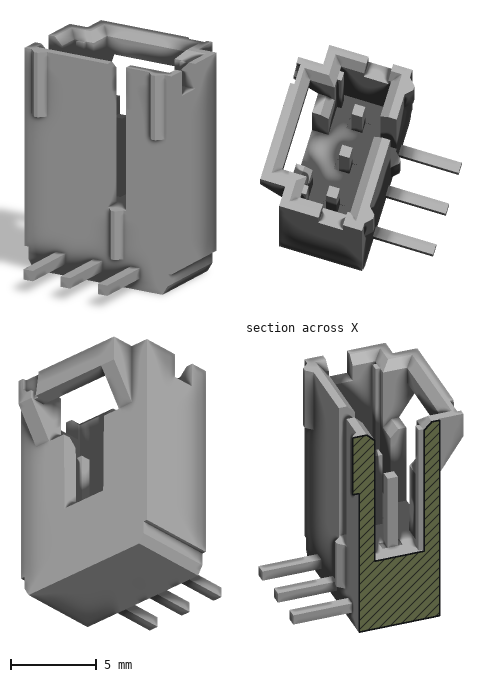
import cadquery as cq

height = 13.59
width = 10.03
depth = 5.07
floor_height = 4.73
side_wall = 0.94
end_wall = 1.0
lead_in = 0.5

base_height = 1.36
base_width = 9.49
base_bevel_width = 0.34
base_bevel_height = 0.57

hood_width = 7.61
hood_depth = 1.52
hood_height = 1.55
hood_wall = 1.03
cheek_height = 3.82

window_width = hood_width - 2 * hood_wall
post_top = 9.76
post_gap_top = 3.18
post_gap_bottom = 3.07
post_bevel = 0.5

rib_width = 0.53
rib_depth = 0.27
rib_offset = (hood_width - rib_width) / 2

slot_width = 1.26
slot_offset = 1.28
notch_front = 1.17
notch_width = 1.5
notch_depth = 1.54

ridge_depth = 0.41
ridge_tip_width = 0.26
side_ridge_offset = 4.01
side_ridge_length = 3.98
side_ridge_width = 1.06
low_ridge_offset = 1.25
low_ridge_length = 3.0
low_ridge_width = 1.0

mark_left = 2.19
mark_right = 3.42
mark_edge_height = 0.68
mark_slope_width = 0.27
mark_slope_height = 0.33
mark_channel_left = 2.43
mark_channel_right = 2.8
mark_depth = 0.25

contact_count = 3
contact_pitch = 2.54
contact_width = 0.64
tail_length = 3.68
tail_bottom = 0.73
pin_centre = 2.53
pin_top = 9.51
well_depth = 1.26
well_drop = 0.08

back = depth + hood_depth
cavity_width = width - 2 * side_wall
cavity_back = depth - end_wall
hood_inner_back = back - hood_wall
hood_bottom = height - hood_height


def centred_block(x_centre, x_size, y_min, y_max, z_min, z_max):
    """Box centred on an X position and given by its limits along Y and Z."""
    x_min = x_centre - x_size / 2
    box = cq.Workplane("XY").box(x_size, y_max - y_min, z_max - z_min, centered=False)
    return box.translate((x_min, y_min, z_min))


def front_profile(points, y_min, y_max):
    """Prism of an X-Z outline running along Y."""
    prism = cq.Workplane("XZ").polyline(points).close().extrude(y_min - y_max)
    return prism.translate((0, y_min, 0))


def side_profile(points, x_centre, x_size):
    """Prism of a Y-Z outline centred on a given X position."""
    prism = cq.Workplane("YZ").polyline(points).close().extrude(x_size)
    return prism.translate((x_centre - x_size / 2, 0, 0))


def make_housing():
    """Solid housing with its narrowed, bevelled base and its hood."""
    half = width / 2
    base_half = base_width / 2
    foot_half = base_half - base_bevel_width
    outline = [
        (-foot_half, 0),
        (foot_half, 0),
        (base_half, base_bevel_height),
        (base_half, base_height),
        (half, base_height),
        (half, height),
        (-half, height),
        (-half, base_height),
        (-base_half, base_height),
        (-base_half, base_bevel_height),
    ]
    hood_outline = [
        (depth, height - cheek_height),
        (back, hood_bottom),
        (back, height),
        (depth, height),
    ]
    return front_profile(outline, 0, depth).union(side_profile(hood_outline, 0, hood_width))


def flared_pocket(x_size, y_min, y_max):
    """Pocket from the floor up, with the lead-in bevel around its mouth."""
    centre_y = (y_min + y_max) / 2
    y_size = y_max - y_min
    flare = (
        cq.Workplane("XY", origin=(0, centre_y, height - lead_in))
        .rect(x_size, y_size)
        .workplane(offset=lead_in)
        .rect(x_size + 2 * lead_in, y_size + 2 * lead_in)
        .loft(ruled=True)
    )
    return centred_block(0, x_size, y_min, y_max, floor_height, height).union(flare)


def make_cavity():
    """Main cavity, hood cavity and the window through the back wall."""
    main = flared_pocket(cavity_width, end_wall, cavity_back)
    hood = flared_pocket(window_width, end_wall, hood_inner_back)
    under_hood = centred_block(0, window_width, end_wall, back, floor_height, hood_bottom)
    return main.union(hood).union(under_hood)


def make_posts():
    """Two bevelled posts that leave a slightly tapered gap in the window."""
    outline = [
        (cavity_back, floor_height),
        (depth, floor_height),
        (depth, post_top),
        (cavity_back + post_bevel, post_top),
        (cavity_back, post_top - post_bevel),
    ]
    gap = [
        (-post_gap_bottom / 2, floor_height),
        (post_gap_bottom / 2, floor_height),
        (post_gap_top / 2, post_top),
        (-post_gap_top / 2, post_top),
    ]
    return side_profile(outline, 0, window_width).cut(front_profile(gap, 0, back))


def make_ridge(x_centre, foot_width, z_bottom, length):
    """Upright ridge on the front face with sloping flanks and a narrow flat tip."""
    tip_half = ridge_tip_width / 2
    foot_half = foot_width / 2
    outline = [
        (x_centre - foot_half, 0),
        (x_centre - tip_half, -ridge_depth),
        (x_centre + tip_half, -ridge_depth),
        (x_centre + foot_half, 0),
    ]
    return cq.Workplane("XY", origin=(0, 0, z_bottom)).polyline(outline).close().extrude(length)


def make_mark():
    """Recess open at the top, narrowing past a ledge to a channel through the hood's lower edge."""
    slope_top = height - mark_edge_height
    ledge = slope_top - mark_slope_height
    outline = [
        (mark_left, height),
        (mark_channel_left, hood_bottom),
        (mark_channel_right, hood_bottom),
        (mark_channel_right, ledge),
        (mark_right - mark_slope_width, ledge),
        (mark_right, slope_top),
        (mark_right, height),
    ]
    return front_profile(outline, back - mark_depth, back)


def make_contact(x_centre):
    """Right-angle contact: an upright square pin joined to a tail leaving the front face."""
    pin_front = pin_centre - contact_width / 2
    pin_back = pin_centre + contact_width / 2
    tail_top = tail_bottom + contact_width
    pin = centred_block(x_centre, contact_width, pin_front, pin_back, tail_bottom, pin_top)
    tail = centred_block(x_centre, contact_width, -tail_length, pin_back, tail_bottom, tail_top)
    return pin.union(tail)


def make_well(x_centre):
    """Shallow well in the cavity floor, as wide as the pin that rises from it."""
    well_front = pin_centre - well_depth / 2
    well_bottom = floor_height - well_drop
    return centred_block(
        x_centre, contact_width, well_front, well_front + well_depth, well_bottom, floor_height
    )


result = make_housing().cut(make_cavity()).union(make_posts())

for side in (-1, 1):
    rib = centred_block(
        side * rib_offset, rib_width, cavity_back - rib_depth, cavity_back, floor_height, height - lead_in
    )
    result = result.union(rib)

slot = centred_block(slot_offset, slot_width, 0, end_wall, floor_height, height)
notches = centred_block(
    0, width, notch_front, notch_front + notch_width, height - notch_depth, height
)
result = result.cut(slot).cut(notches).cut(make_mark())

for side in (-1, 1):
    side_ridge = make_ridge(
        side * side_ridge_offset, side_ridge_width, height - side_ridge_length, side_ridge_length
    )
    result = result.union(side_ridge)
low_ridge = make_ridge(
    low_ridge_offset, low_ridge_width, floor_height - low_ridge_length, low_ridge_length
)
result = result.union(low_ridge)

for index in range(contact_count):
    contact_x = (index - (contact_count - 1) / 2) * contact_pitch
    result = result.cut(make_well(contact_x)).union(make_contact(contact_x))